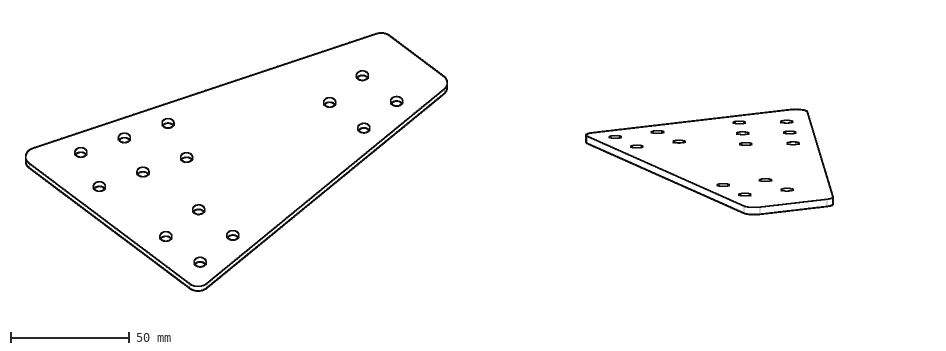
import cadquery as cq
import math

plate_width = 103.87
plate_height = 155.0
plate_thickness = 3.175
corner_radius = 5.0
slant_angle = 23.2

hole_diameter = 5.1
hole_pitch = 20.0
edge_margin = 10.0
lower_row_height = 11.5
group_spacing = 100.0
group_columns = 2
square_rows = 2
slanted_rows = 3

slant = math.radians(slant_angle)
along_edge = (math.sin(slant), math.cos(slant))
inward = (math.cos(slant), -math.sin(slant))

slant_corner_center = (corner_radius, corner_radius)
slant_edge_at_bottom = (
    slant_corner_center[0]
    - corner_radius / math.cos(slant)
    - slant_corner_center[1] * math.tan(slant)
)


def slant_edge_x(height):
    """X of the slanted edge at a height above the bottom edge."""
    return slant_edge_at_bottom + height * math.tan(slant)


def make_plate():
    return (
        cq.Workplane("XY")
        .moveTo(slant_edge_x(0), 0)
        .lineTo(plate_width, 0)
        .lineTo(plate_width, plate_height)
        .lineTo(slant_edge_x(plate_height), plate_height)
        .close()
        .extrude(plate_thickness)
        .edges("|Z")
        .fillet(corner_radius)
    )


def square_group(bottom_row):
    """Four holes beside the right edge, two rows of two."""
    right_column = plate_width - edge_margin
    return [
        (right_column - column * hole_pitch, bottom_row + row * hole_pitch)
        for column in range(group_columns)
        for row in range(square_rows)
    ]


def slanted_group():
    """Two columns parallel to the slanted edge; the inner one starts on the lowest hole row."""
    inner_offset = edge_margin + hole_pitch
    inner_start_x = slant_edge_x(lower_row_height) + inner_offset / math.cos(slant)
    points = []
    for column in range(group_columns):
        for row in range(slanted_rows):
            up = row * hole_pitch
            outward = column * hole_pitch
            x = inner_start_x + up * along_edge[0] - outward * inward[0]
            y = lower_row_height + up * along_edge[1] - outward * inward[1]
            points.append((x, y))
    return points


def make_holes():
    lower_group = square_group(lower_row_height)
    upper_group = square_group(lower_row_height + group_spacing)
    return (
        cq.Workplane("XY")
        .pushPoints(lower_group + upper_group + slanted_group())
        .circle(hole_diameter / 2)
        .extrude(plate_thickness)
    )


result = make_plate().cut(make_holes())